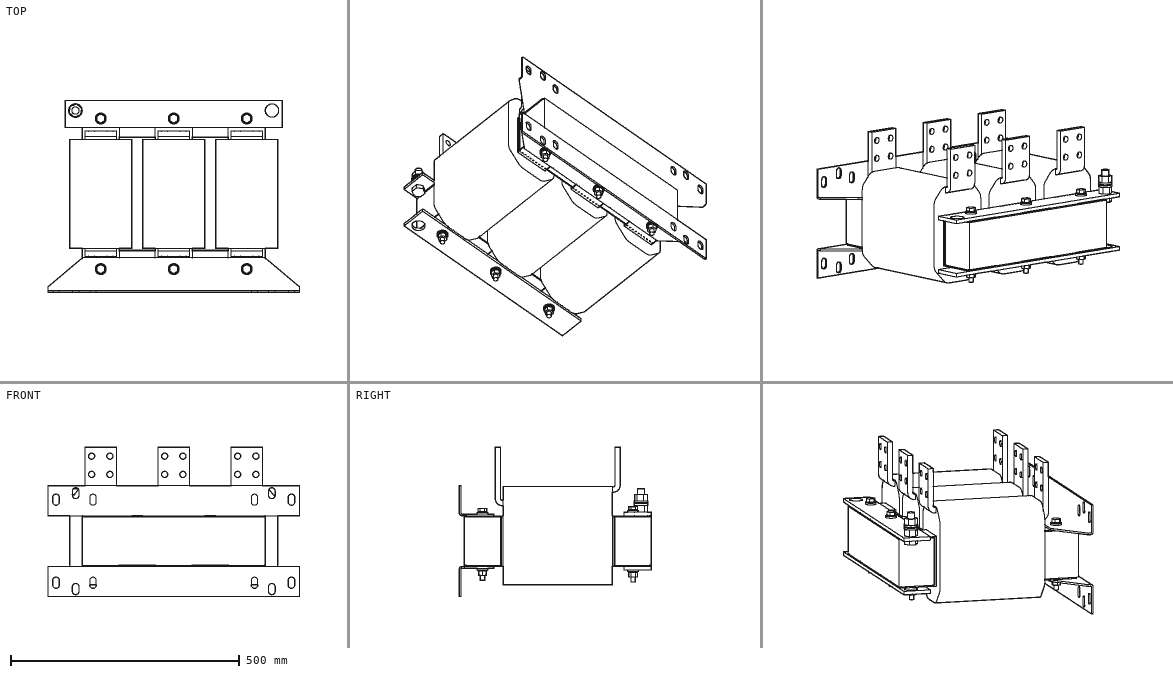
import cadquery as cq
import math

leg_pitch = 160.0
leg_width = 80.0
leg_centres = (-leg_pitch, 0.0, leg_pitch)
core_width = 2 * leg_pitch + leg_width
core_length = 410.0
core_height = 106.0
yoke_depth = 80.0
window_length = core_length - 2 * yoke_depth

strip_thickness = 2.5
strip_width = 82.0
strip_length = 400.0
sheet_thickness = 2.0
sheet_recess = 0.5
sleeve_length = window_length - 2 * sheet_thickness
clamp_face = core_height / 2 + strip_thickness

coil_width = 136.0
coil_length = 239.0
coil_top = 120.0
coil_bottom = -96.0
top_chamfer_width = 25.0
top_chamfer_height = 29.0
bottom_chamfer = 35.0
coil_corner_radius = 22.5

terminal_width = 70.0
terminal_thickness = 12.0
terminal_bend_radius = 4.0
terminal_gap = 5.8
back_terminal_root = 107.0
front_terminal_root = 77.5
terminal_hole_diameter = 13.0
terminal_hole_pitch = 40.0
terminal_hole_edge = 20.0

bracket_width = 552.0
bracket_thickness = 4.0
bracket_bend_radius = 2.0
bracket_height = 66.0
bracket_front = -core_length / 2 - 11.0
bracket_back = -140.0
bracket_taper_start = -204.0
slot_width = 14.0
slot_length = 24.0
slot_places = ((258.0, 30.5), (215.0, 16.5), (177.0, 30.5))
bracket_edge = clamp_face + bracket_height

overall_height = 327.85
terminal_top = overall_height - bracket_edge

plate_width = 476.0
plate_depth = 60.0
plate_thickness = 8.0
earth_x = 215.5
earth_y = 182.5
earth_hole_diameter = 29.0

bolt_y = 165.0
bolt_diameter = 10.0
washer_diameter = 24.0
washer_thickness = 3.5
spring_washer_diameter = 20.0
spring_washer_thickness = 2.0
bolt_hex_width = 17.0
bolt_head_height = 7.0
bolt_nut_height = 10.0
bolt_tail = 11.0
back_nut_turn = 0.0
front_nut_turn = 30.0

stud_diameter = 16.0
stud_top = 115.4
stud_hex_width = 25.0
stud_head_height = 10.5
stud_lower_nut_height = 15.0
stud_washer_diameter = 30.0
stud_washer_thickness = 4.0
stud_spring_washer_diameter = 27.0
stud_spring_washer_thickness = 2.0
stud_upper_nut_height = 14.0
stud_upper_nut_turn = -10.0


def block(width, depth, height, centre):
    return cq.Workplane("XY").box(width, depth, height).translate(centre)


def cylinder(x, y, base, diameter, height):
    return cq.Workplane("XY").circle(diameter / 2).extrude(height).translate((x, y, base))


def hexagon(x, y, base, across_flats, height, turn=0.0):
    """Hexagonal prism; at zero turn two of its flats face along X."""
    across_corners = across_flats / math.cos(math.pi / 6)
    prism = cq.Workplane("XY").polygon(6, across_corners).extrude(height)
    return prism.rotate((0, 0, 0), (0, 0, 1), 30 + turn).translate((x, y, base))


def make_core():
    core = block(core_width, core_length, core_height, (0, 0, 0))
    window_width = leg_pitch - leg_width
    for x in (-leg_pitch / 2, leg_pitch / 2):
        core = core.cut(block(window_width, window_length, core_height, (x, 0, 0)))
    sheet_y = (window_length - sheet_thickness) / 2
    sheet_width = core_width - 2 * sheet_recess
    sheet_height = core_height - 2 * sheet_recess
    for y in (-sheet_y, sheet_y):
        core = core.cut(block(core_width, sheet_thickness, core_height, (0, y, 0)))
        core = core.union(block(sheet_width, sheet_thickness, sheet_height, (0, y, 0)))
    strip_z = (core_height + strip_thickness) / 2
    for x in leg_centres:
        core = core.union(block(strip_width, sleeve_length, 2 * clamp_face, (x, 0, 0)))
        for z in (-strip_z, strip_z):
            core = core.union(block(strip_width, strip_length, strip_thickness, (x, 0, z)))
    return core


def make_coil(x):
    side = coil_width / 2
    outline = [
        (side, coil_bottom + bottom_chamfer),
        (side, coil_top - top_chamfer_height),
        (side - top_chamfer_width, coil_top),
        (top_chamfer_width - side, coil_top),
        (-side, coil_top - top_chamfer_height),
        (-side, coil_bottom + bottom_chamfer),
        (bottom_chamfer - side, coil_bottom),
        (side - bottom_chamfer, coil_bottom),
    ]
    coil = cq.Workplane("XZ").polyline(outline).close().extrude(coil_length / 2, both=True)
    return coil.edges("|Y").fillet(coil_corner_radius).translate((x, 0, 0))


def make_terminal(x, root, side):
    """Bar rising from the coil end; root is its lowest height, side is +1 at the back and -1 in front."""
    coil_end = coil_length / 2
    inner = coil_end + terminal_gap
    outer = inner + terminal_thickness
    bend = terminal_bend_radius
    bar = (
        cq.Workplane("YZ")
        .moveTo(coil_end, root)
        .lineTo(outer, root)
        .lineTo(outer, terminal_top)
        .lineTo(inner, terminal_top)
        .lineTo(inner, root + terminal_thickness)
        .lineTo(coil_end, root + terminal_thickness)
        .close()
        .extrude(terminal_width / 2, both=True)
    )
    bar = bar.edges(cq.selectors.NearestToPointSelector((0, outer, root))).fillet(bend + terminal_thickness)
    inner_corner = (0, inner, root + terminal_thickness)
    bar = bar.edges(cq.selectors.NearestToPointSelector(inner_corner)).fillet(bend)
    holes = (
        cq.Workplane("XZ", origin=(0, 0, terminal_top - terminal_hole_edge - terminal_hole_pitch / 2))
        .rect(terminal_hole_pitch, terminal_hole_pitch, forConstruction=True)
        .vertices()
        .circle(terminal_hole_diameter / 2)
        .extrude(-2 * outer)
    )
    bar = bar.cut(holes)
    if side < 0:
        bar = bar.mirror("XZ")
    return bar.translate((x, 0, 0))


def make_upper_bracket():
    depth = bracket_back - bracket_front
    flange = (
        cq.Workplane("XY", origin=(0, 0, clamp_face))
        .polyline([
            (-bracket_width / 2, bracket_front),
            (bracket_width / 2, bracket_front),
            (bracket_width / 2, bracket_taper_start),
            (core_width / 2, bracket_back),
            (-core_width / 2, bracket_back),
            (-bracket_width / 2, bracket_taper_start),
        ])
        .close()
        .extrude(bracket_height)
    )
    hollow = block(
        bracket_width,
        depth,
        bracket_height,
        (0, bracket_front + bracket_thickness + depth / 2, clamp_face + bracket_thickness + bracket_height / 2),
    )
    hollow = hollow.edges("|X and <Y and <Z").fillet(bracket_bend_radius)
    bracket = flange.cut(hollow)
    bracket = bracket.edges("|X and <Y and <Z").fillet(bracket_bend_radius + bracket_thickness)
    for offset, edge_distance in slot_places:
        for x in (-offset, offset):
            slot = (
                cq.Workplane("XZ", origin=(x, bracket_front, bracket_edge - edge_distance))
                .slot2D(slot_length, slot_width, 90)
                .extrude(2 * bracket_thickness, both=True)
            )
            bracket = bracket.cut(slot)
    return bracket


def make_back_plates():
    y = core_length / 2 - plate_depth / 2
    z = clamp_face + plate_thickness / 2
    upper = block(plate_width, plate_depth, plate_thickness, (0, y, z))
    upper = upper.cut(cylinder(earth_x, earth_y, clamp_face, earth_hole_diameter, plate_thickness))
    return upper.union(upper.rotate((0, 0, 0), (0, 1, 0), 180))


def make_washers(x, y, base):
    """Flat washer standing on base with a spring washer on top of it."""
    flat = cylinder(x, y, base, washer_diameter, washer_thickness)
    spring_base = base + washer_thickness
    return flat.union(cylinder(x, y, spring_base, spring_washer_diameter, spring_washer_thickness))


def make_clamp_bolt(x, y, plate, nut_turn):
    face = clamp_face + plate
    washers = make_washers(x, y, face)
    hex_base = face + washer_thickness + spring_washer_thickness
    head = hexagon(x, y, hex_base, bolt_hex_width, bolt_head_height)
    nut_base = -hex_base - bolt_nut_height
    nut = hexagon(x, y, nut_base, bolt_hex_width, bolt_nut_height, nut_turn)
    tail = cylinder(x, y, nut_base - bolt_tail, bolt_diameter, bolt_tail)
    return washers.union(head).union(washers.mirror("XY")).union(nut).union(tail)


def make_earth_stud():
    x = -earth_x
    y = earth_y
    stud = cylinder(x, y, clamp_face, stud_diameter, stud_top - clamp_face)
    stud = stud.union(hexagon(x, y, clamp_face - stud_head_height, stud_hex_width, stud_head_height))
    base = clamp_face + plate_thickness
    stud = stud.union(hexagon(x, y, base, stud_hex_width, stud_lower_nut_height))
    base += stud_lower_nut_height
    washers = (
        (stud_washer_diameter, stud_washer_thickness),
        (stud_spring_washer_diameter, stud_spring_washer_thickness),
        (stud_washer_diameter, stud_washer_thickness),
    )
    for diameter, thickness in washers:
        stud = stud.union(cylinder(x, y, base, diameter, thickness))
        base += thickness
    return stud.union(hexagon(x, y, base, stud_hex_width, stud_upper_nut_height, stud_upper_nut_turn))


result = make_core()
for leg_x in leg_centres:
    result = result.union(make_coil(leg_x))
    result = result.union(make_terminal(leg_x, back_terminal_root, 1))
    result = result.union(make_terminal(leg_x, front_terminal_root, -1))
upper_bracket = make_upper_bracket()
result = result.union(upper_bracket).union(upper_bracket.mirror("XY"))
result = result.union(make_back_plates())
for leg_x in leg_centres:
    result = result.union(make_clamp_bolt(leg_x, bolt_y, plate_thickness, back_nut_turn))
    result = result.union(make_clamp_bolt(leg_x, -bolt_y, bracket_thickness, front_nut_turn))
result = result.union(make_earth_stud())